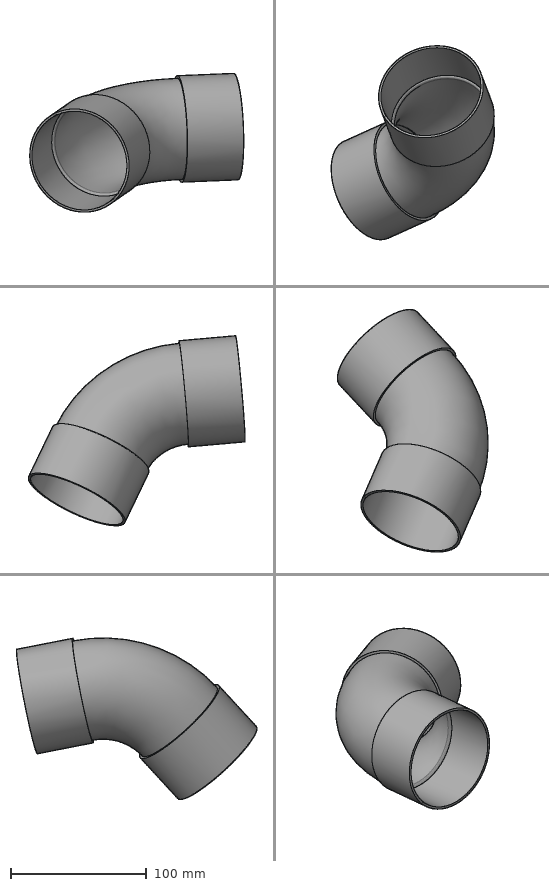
import cadquery as cq
import math

bend_angle = 60.0
socket_diameter = 78.6
pipe_diameter = 74.7
socket_bore_diameter = 75.0
pipe_bore_diameter = 71.3
socket_length = 41.9
bend_radius = 74.9

socket_radius = socket_diameter / 2
pipe_radius = pipe_diameter / 2
socket_bore_radius = socket_bore_diameter / 2
pipe_bore_radius = pipe_bore_diameter / 2
seat_radius = socket_bore_radius - pipe_bore_radius

angle = math.radians(bend_angle)
start_point = cq.Vector(0, 0, 0)
start_direction = cq.Vector(0, 1, 0)
end_point = cq.Vector(bend_radius * (1 - math.cos(angle)), bend_radius * math.sin(angle), 0)
end_direction = cq.Vector(math.sin(angle), math.cos(angle), 0)


def bend(radius):
    """Solid round bar following the bend, revolved about the bend centre."""
    return (
        cq.Workplane("XZ")
        .circle(radius)
        .revolve(bend_angle, (bend_radius, 0, 0), (bend_radius, -1, 0))
    )


def place(body, joint, outward):
    """Move a body built along +Z so that it starts at a joint and points outward."""
    plane = cq.Plane(origin=joint, xDir=(0, 0, 1), normal=outward)
    return cq.Workplane(obj=body.val().moved(cq.Location(plane)))


def socket_body():
    return cq.Workplane("XY").circle(socket_radius).extrude(socket_length)


def socket_cavity():
    """Pipe bore at the joint, opening over a quarter-round lip to the socket bore."""
    lip_offset = seat_radius * math.sqrt(0.5)
    lip_middle = (socket_bore_radius - lip_offset, lip_offset)
    return (
        cq.Workplane("XZ")
        .lineTo(pipe_bore_radius, 0)
        .threePointArc(lip_middle, (socket_bore_radius, seat_radius))
        .lineTo(socket_bore_radius, socket_length)
        .lineTo(0, socket_length)
        .close()
        .revolve(360, (0, 0, 0), (0, 1, 0))
    )


joints = [(start_point, -start_direction), (end_point, end_direction)]

outside = bend(pipe_radius)
inside = bend(pipe_bore_radius)
for joint, outward in joints:
    outside = outside.union(place(socket_body(), joint, outward))
    inside = inside.union(place(socket_cavity(), joint, outward))

result = outside.cut(inside)